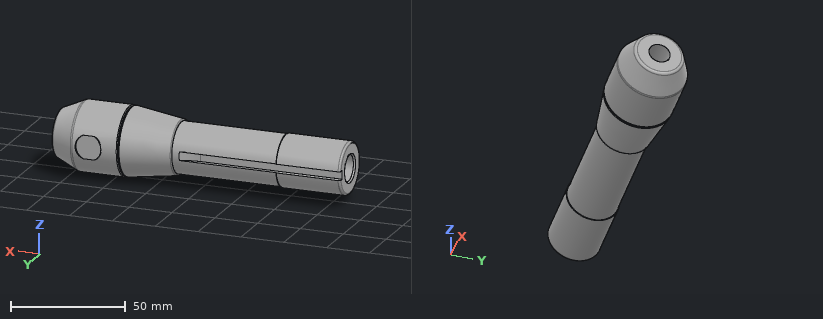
import cadquery as cq
import math

overall_length = 135.2
collar_length = 30.0
head_start = 78.7
groove_start = 101.75
groove_end = 103.0
head_cylinder_end = 124.1

collar_diameter = 24.2
shank_diameter = 23.5
head_rear_diameter = 25.0
taper_end_diameter = 31.7
groove_diameter = 31.15
head_diameter = 32.0
nose_diameter = 22.0

collar_fillet = 1.0
head_rear_fillet = 0.5
groove_chamfer = 0.4
shoulder_fillet = 2.0
nose_fillet = 1.5

through_diameter = 9.53
counterbore_diameter = 12.0
counterbore_depth = 4.7
mouth_diameter = 13.2
mouth_depth = 0.8
bore_cone_angle = 118.0

keyway_width = 4.0
keyway_floor_radius = 9.5
keyway_end = 75.4
keyway_cutter_radius = 20.0

recess_diameter = 12.0
recess_station = 116.2
recess_depth = 0.95


def revolve_about_x(points):
    """Revolve a closed (station, radius) outline about the X axis."""
    return cq.Workplane("XY").polyline(points).close().revolve(360, (0, 0, 0), (1, 0, 0))


def round_edge(body, station, diameter, fillet_radius):
    """Fillet the outermost circular edge at a station along the axis."""
    reach = diameter
    tolerance = 0.01
    at_station = cq.selectors.BoxSelector(
        (station - tolerance, -reach, -reach),
        (station + tolerance, reach, reach),
        boundingbox=True,
    )
    outermost = cq.selectors.RadiusNthSelector(-1)
    return body.edges(at_station).edges(outermost).fillet(fillet_radius)


def make_body():
    body = revolve_about_x([
        (0, 0),
        (0, collar_diameter / 2),
        (collar_length, collar_diameter / 2),
        (collar_length, shank_diameter / 2),
        (head_start, shank_diameter / 2),
        (head_start, head_rear_diameter / 2),
        (groove_start, taper_end_diameter / 2),
        (groove_start + groove_chamfer, groove_diameter / 2),
        (groove_end - groove_chamfer, groove_diameter / 2),
        (groove_end, head_diameter / 2),
        (head_cylinder_end, head_diameter / 2),
        (overall_length, nose_diameter / 2),
        (overall_length, 0),
    ])
    body = round_edge(body, 0, collar_diameter, collar_fillet)
    body = round_edge(body, head_start, head_rear_diameter, head_rear_fillet)
    body = round_edge(body, head_cylinder_end, head_diameter, shoulder_fillet)
    body = round_edge(body, overall_length, nose_diameter, nose_fillet)
    return body


def make_bore():
    through_radius = through_diameter / 2
    counterbore_radius = counterbore_diameter / 2
    mouth_radius = mouth_diameter / 2
    half_angle = math.radians(bore_cone_angle / 2)
    cone_depth = (counterbore_radius - through_radius) / math.tan(half_angle)
    return revolve_about_x([
        (0, 0),
        (0, mouth_radius),
        (mouth_depth, counterbore_radius),
        (counterbore_depth, counterbore_radius),
        (counterbore_depth + cone_depth, through_radius),
        (overall_length, through_radius),
        (overall_length, 0),
    ])


def make_keyway():
    """Straight slot whose floor curves up to the shank surface at its far end."""
    shank_radius = shank_diameter / 2
    clear_of_collar = collar_diameter
    slot_depth = shank_radius - keyway_floor_radius
    cutter_y = keyway_floor_radius + keyway_cutter_radius
    run_out = math.sqrt(keyway_cutter_radius**2 - (keyway_cutter_radius - slot_depth)**2)
    cutter_x = keyway_end - run_out
    half_sweep = math.asin(run_out / keyway_cutter_radius) / 2
    arc_middle = (
        cutter_x + keyway_cutter_radius * math.sin(half_sweep),
        cutter_y - keyway_cutter_radius * math.cos(half_sweep),
    )
    return (
        cq.Workplane("XY")
        .moveTo(0, keyway_floor_radius)
        .lineTo(cutter_x, keyway_floor_radius)
        .threePointArc(arc_middle, (keyway_end, shank_radius))
        .lineTo(keyway_end, clear_of_collar)
        .lineTo(0, clear_of_collar)
        .close()
        .extrude(keyway_width / 2, both=True)
    )


def make_recess():
    """Round pocket cut radially into the +Y side of the head."""
    floor_y = head_diameter / 2 - recess_depth
    return (
        cq.Workplane("XZ", origin=(recess_station, floor_y, 0))
        .circle(recess_diameter / 2)
        .extrude(-2 * recess_depth)
    )


result = make_body().cut(make_bore()).cut(make_keyway()).cut(make_recess())